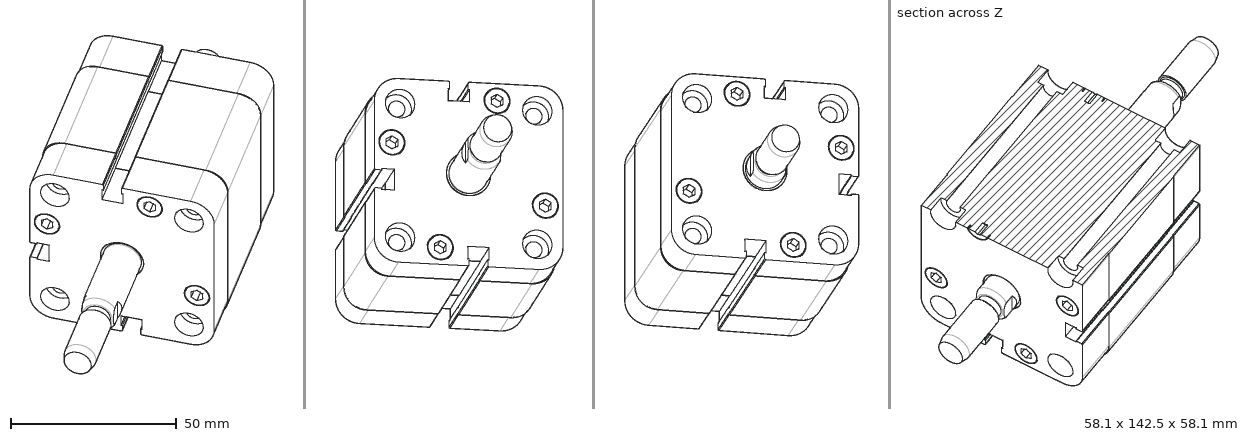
import cadquery as cq
import math

TUBE_SIDE = 58.1
PLATE_SIDE = 57.9
BODY_LENGTH = 65.4
PLATE_LENGTH = 14.7
TUBE_LENGTH = BODY_LENGTH - 2 * PLATE_LENGTH
PLATE_CORNER_RADIUS = 7.4
TUBE_CORNER_RADIUS = 7.0

TOTAL_LENGTH = 142.5
FRONT_ROD_LENGTH = 48.6
BACK_ROD_LENGTH = TOTAL_LENGTH - BODY_LENGTH - FRONT_ROD_LENGTH
ROD_DIAMETER = 12.0
THREAD_DIAMETER = 10.0
NECK_DIAMETER = 8.0
TIP_DIAMETER = 8.5
TIP_CHAMFER_LENGTH = 2.7
THREAD_END = 19.1
SHOULDER = 22.0
SHOULDER_RADIUS = 1.4
NECK_CHAMFER = 0.4
FLAT_LENGTH = 4.5
ACROSS_FLATS = 10.0

ROD_BORE_DIAMETER = 13.5
ROD_BORE_DEPTH = 0.5

SLOT_OFFSET = 3.0
SLOT_MOUTH_WIDTH = 5.7
SLOT_WIDTH = 6.5
SLOT_MOUTH_CHAMFER = 0.3
SLOT_LIP = 2.3
SLOT_DEPTH = 6.1
SLOT_ANGLES = (0, 90, 180)

MOUNT_SPACING = 42.0
MOUNT_HOLE_DIAMETER = 5.0
COUNTERBORE_DIAMETER = 9.0
COUNTERBORE_DEPTH = 5.7

SCREW_NEAR = 8.7
SCREW_FAR = 23.5
SCREW_RECESS_DIAMETER = 8.0
SCREW_HEAD_DIAMETER = 7.5
SCREW_RECESS_DEPTH = 1.4
HEX_ACROSS_FLATS = 3.5
HEX_DEPTH = 4.3

FRONT_FACE = -BODY_LENGTH / 2
BACK_FACE = BODY_LENGTH / 2


def plane_at(y):
    """Sketch plane across the Y axis: local x is X, local y is Z, normal is -Y."""
    return cq.Workplane("XZ", origin=(0, y, 0))


def make_slot(side, length, back_y, angle):
    """T-slot in the top of a square block, turned about Y to another side."""
    surface = side / 2
    half_mouth = SLOT_MOUTH_WIDTH / 2
    half_slot = SLOT_WIDTH / 2
    right_half = [
        (half_slot, surface - SLOT_DEPTH),
        (half_slot, surface - SLOT_LIP),
        (half_mouth, surface - SLOT_LIP),
        (half_mouth, surface - SLOT_MOUTH_CHAMFER),
        (half_mouth + SLOT_MOUTH_CHAMFER, surface),
    ]
    left_half = [(-x, z) for x, z in reversed(right_half)]
    slot = plane_at(back_y).polyline(right_half + left_half).close().extrude(length)
    return slot.translate((-SLOT_OFFSET, 0, 0)).rotate((0, 0, 0), (0, 1, 0), -angle)


def body_section(side, length, corner_radius, back_y):
    """Slotted block with rounded corners, reaching from back_y toward -Y."""
    block = plane_at(back_y).rect(side, side).extrude(length)
    block = block.edges("|Y").fillet(corner_radius)
    for angle in SLOT_ANGLES:
        block = block.cut(make_slot(side, length, back_y, angle))
    return block


def make_body():
    tube_back = BACK_FACE - PLATE_LENGTH
    tube_front = FRONT_FACE + PLATE_LENGTH
    back_plate = body_section(PLATE_SIDE, PLATE_LENGTH, PLATE_CORNER_RADIUS, BACK_FACE)
    tube = body_section(TUBE_SIDE, TUBE_LENGTH, TUBE_CORNER_RADIUS, tube_back)
    front_plate = body_section(PLATE_SIDE, PLATE_LENGTH, PLATE_CORNER_RADIUS, tube_front)
    return back_plate.union(tube).union(front_plate)


def mount_hole_cutter():
    """Four through holes, counterbored from both end faces."""
    def cylinders(y, diameter, length):
        pattern = plane_at(y).rect(MOUNT_SPACING, MOUNT_SPACING, forConstruction=True)
        return pattern.vertices().circle(diameter / 2).extrude(length)

    holes = cylinders(BACK_FACE, MOUNT_HOLE_DIAMETER, BODY_LENGTH)
    front = cylinders(FRONT_FACE, COUNTERBORE_DIAMETER, -COUNTERBORE_DEPTH)
    back = cylinders(BACK_FACE, COUNTERBORE_DIAMETER, COUNTERBORE_DEPTH)
    return holes.union(front).union(back)


def screw_cutter(y, inward):
    """Ring gaps and hexagon sockets of the four screws in one end face."""
    points = [
        (SCREW_NEAR, SCREW_FAR),
        (-SCREW_FAR, SCREW_NEAR),
        (-SCREW_NEAR, -SCREW_FAR),
        (SCREW_FAR, -SCREW_NEAR),
    ]
    ring = plane_at(y).pushPoints(points).circle(SCREW_RECESS_DIAMETER / 2)
    ring = ring.circle(SCREW_HEAD_DIAMETER / 2).extrude(inward * SCREW_RECESS_DEPTH)
    hex_across_corners = HEX_ACROSS_FLATS / math.cos(math.pi / 6)
    hexagon = cq.Sketch().regularPolygon(hex_across_corners / 2, 6)
    sockets = plane_at(y).pushPoints(points).placeSketch(hexagon).extrude(inward * HEX_DEPTH)
    return ring.union(sockets)


def rod_recess_cutter(y, inward):
    """Ring gap around the rod in one end face."""
    ring = plane_at(y).circle(ROD_BORE_DIAMETER / 2).circle(ROD_DIAMETER / 2)
    return ring.extrude(inward * ROD_BORE_DEPTH)


def make_rod_end(length):
    """Rod end pointing along +Y, with its root at the origin."""
    thread_start = length - THREAD_END
    shoulder = length - SHOULDER
    rod_radius = ROD_DIAMETER / 2
    neck_radius = NECK_DIAMETER / 2
    thread_radius = THREAD_DIAMETER / 2
    arc_inset = SHOULDER_RADIUS * (1 - math.cos(math.pi / 4))
    profile = (
        cq.Workplane("XY")
        .lineTo(rod_radius, 0)
        .lineTo(rod_radius, shoulder - SHOULDER_RADIUS)
        .threePointArc(
            (rod_radius - arc_inset, shoulder - arc_inset),
            (rod_radius - SHOULDER_RADIUS, shoulder),
        )
        .lineTo(neck_radius, shoulder)
        .lineTo(neck_radius, thread_start - NECK_CHAMFER)
        .lineTo(neck_radius + NECK_CHAMFER, thread_start)
        .lineTo(thread_radius, thread_start)
        .lineTo(thread_radius, length - TIP_CHAMFER_LENGTH)
        .lineTo(TIP_DIAMETER / 2, length)
        .lineTo(0, length)
        .close()
    )
    rod = profile.revolve(360, (0, 0, 0), (0, 1, 0))

    flat_x = ACROSS_FLATS / 2
    flat_start = shoulder - FLAT_LENGTH
    ramp = rod_radius - flat_x
    flat_outline = [
        (flat_x, shoulder),
        (flat_x, flat_start),
        (rod_radius, flat_start - ramp),
        (rod_radius, shoulder),
    ]
    flat = cq.Workplane("XY").polyline(flat_outline).close().extrude(rod_radius, both=True)
    return rod.cut(flat).cut(flat.mirror("YZ"))


body = make_body().cut(mount_hole_cutter())
for face_y, inward in ((FRONT_FACE, -1), (BACK_FACE, 1)):
    body = body.cut(screw_cutter(face_y, inward))
    body = body.cut(rod_recess_cutter(face_y, inward))

back_rod = make_rod_end(BACK_ROD_LENGTH).translate((0, BACK_FACE, 0))
front_rod = make_rod_end(FRONT_ROD_LENGTH).mirror("XZ").translate((0, FRONT_FACE, 0))
result = body.union(back_rod).union(front_rod)